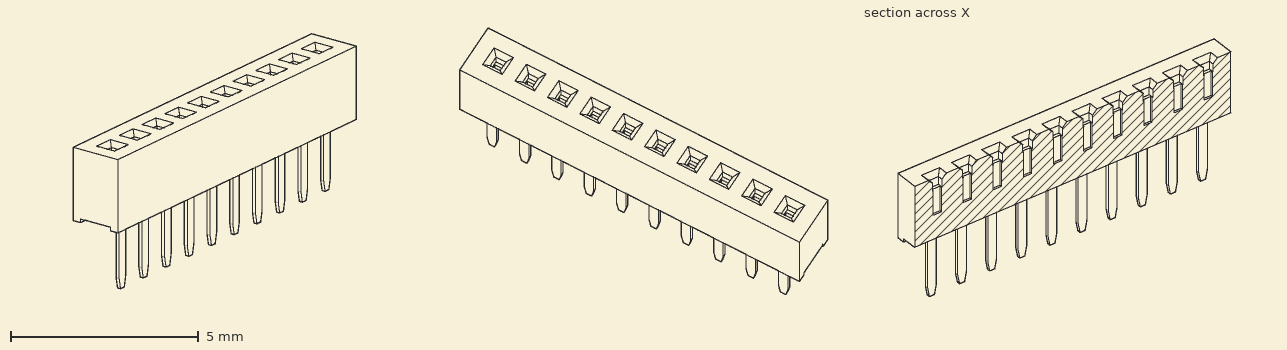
import cadquery as cq

housing_length = 10.5
housing_width = 1.5
housing_height = 2.1
overall_height = 4.0
foot_width = 0.25
foot_height = 0.1

contact_count = 10
end_margin_in_pitches = 0.25
contact_pitch = housing_length / (contact_count + 2 * end_margin_in_pitches)

mouth_size = 0.6
well_size = 0.3
well_depth = 0.4
lead_in_depth = (mouth_size - well_size) / 2
slot_width = 0.12
slot_length = 0.26
slot_bottom_depth = 1.2

pin_width = 0.29
pin_thickness = 0.1
pin_offset = 0.28
pin_tip_width = 0.17
pin_taper_length = 0.32

top_z = overall_height / 2
foot_z = top_z - housing_height
groove_z = foot_z + foot_height
pin_tip_z = -overall_height / 2
contact_positions = [
    (index - (contact_count - 1) / 2) * contact_pitch for index in range(contact_count)
]


def block(size_x, size_y, bottom_z, height, y=0.0):
    """Box centred on X = 0 and on y, rising from bottom_z."""
    return (
        cq.Workplane("XY", origin=(0, y, bottom_z))
        .box(size_x, size_y, height, centered=(True, True, False))
    )


def make_housing():
    """Bar with a full-length groove that leaves the two foot rails."""
    bar = block(housing_width, housing_length, foot_z, housing_height)
    groove_width = housing_width - 2 * foot_width
    return bar.cut(block(groove_width, housing_length, foot_z, foot_height))


def make_socket(y):
    """Lead-in funnel, square well and blade slot, to be removed from the housing."""
    funnel = (
        cq.Workplane("XY", origin=(0, y, top_z))
        .rect(mouth_size, mouth_size)
        .workplane(offset=-lead_in_depth)
        .rect(well_size, well_size)
        .loft(ruled=True)
    )
    well = block(well_size, well_size, top_z - well_depth, well_depth, y=y)
    slot = block(slot_width, slot_length, top_z - slot_bottom_depth, slot_bottom_depth, y=y)
    return funnel.union(well).union(slot)


def make_pin(y):
    """Flat blade hanging from the groove, narrowing to its tip."""
    half_width = pin_width / 2
    half_tip = pin_tip_width / 2
    shoulder_z = pin_tip_z + pin_taper_length
    return (
        cq.Workplane("YZ", origin=(pin_offset - pin_thickness / 2, y, 0))
        .polyline([
            (-half_width, groove_z),
            (-half_width, shoulder_z),
            (-half_tip, pin_tip_z),
            (half_tip, pin_tip_z),
            (half_width, shoulder_z),
            (half_width, groove_z),
        ])
        .close()
        .extrude(pin_thickness)
    )


result = make_housing()
for contact_y in contact_positions:
    result = result.cut(make_socket(contact_y))
    result = result.union(make_pin(contact_y))